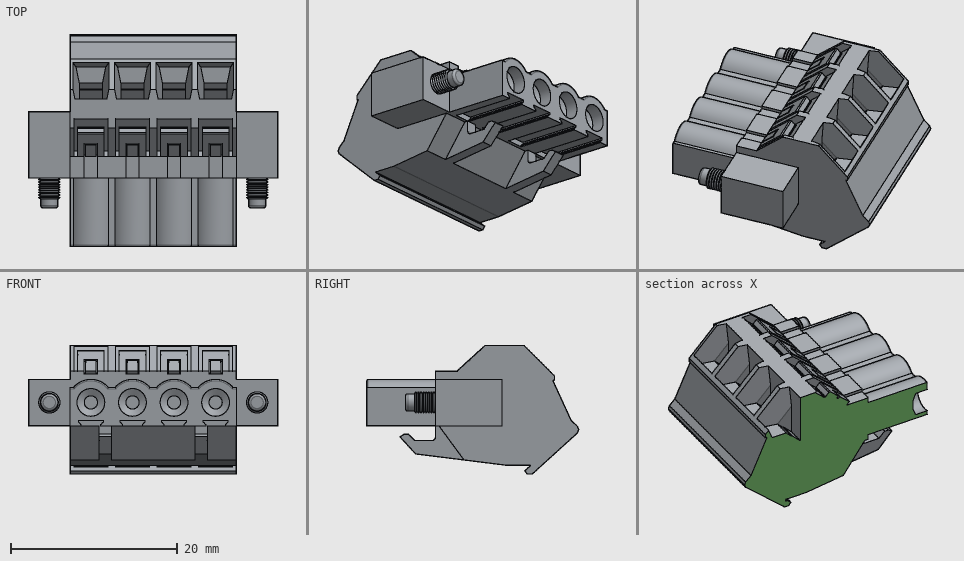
import cadquery as cq
import math


POLES = 4
PITCH = 5.0
BODY_WIDTH = POLES * PITCH
FLANGE_WIDTH = 5.0
FLANGE_DEPTH = 8.0
FLANGE_HEIGHT = 5.6
OVERLAP = 1.0

TOP_Z = 9.7
BOTTOM_Z = -5.8
BACK_Y = 17.25

STEP_Z = 6.6
SLOPE_FOOT_Y = 2.6
SLOPE_TOP_Y = 6.0
SLOPE_ANGLE = math.atan2(TOP_Z - STEP_Z, SLOPE_TOP_Y - SLOPE_FOOT_Y)

REAR_EDGE_Y = 10.65
REAR_LIP_Y = 14.35
REAR_LIP_DROP = 0.5
REAR_LIP_FOOT_Y = 14.15
REAR_LIP_FOOT_Z = 5.45
REAR_PLANE_SUM = REAR_EDGE_Y + TOP_Z

NOSE_KNEE_Y = 16.35
NOSE_KNEE_Z = 0.66
NOSE_Z = -0.45
NOSE_HALF_HEIGHT = 0.4
NOSE_BLUNTING = 0.15

KEEL_LIP_BACK_Y = 11.65
KEEL_LIP_FRONT_Y = 11.05
KEEL_LIP_TIP_Y = 10.75
KEEL_LIP_TIP_Z = -5.4
KEEL_LIP_ROOT_Y = 11.45

UNDERCUT_TOP_Y = 0.45
UNDERCUT_FOOT_Y = 3.45
KEEL_BACK_Y = 8.6
KEEL_BACK_Z = -4.75
HOOK_HEEL_Y = -2.37
HOOK_HEEL_Z = -3.38
KEEL_SLOPE = (KEEL_BACK_Z - HOOK_HEEL_Z) / (KEEL_BACK_Y - HOOK_HEEL_Y)
UNDERCUT_FOOT_Z = HOOK_HEEL_Z + KEEL_SLOPE * (UNDERCUT_FOOT_Y - HOOK_HEEL_Y)

SLIT_HALF = 2.05
SLIT_HEIGHT = 0.1
SLIT_TOP_Z = -4.82
SLIT_FRONT_Y = 11.2
SLIT_BACK_Y = 11.5

PLUG_LENGTH = 8.25
PLUG_WEB_Z = 4.65
SLEEVE_Z = 2.83
SLEEVE_RADIUS = FLANGE_HEIGHT - SLEEVE_Z
PLUG_ROUNDING = 0.18
BORE_MOUTH_RADIUS = 1.67
BORE_END_RADIUS = 0.8
BORE_STRAIGHT = 1.6
BORE_CONE = 0.4
KEYWAY_HEIGHT = 0.68
KEYWAY_TOP_HALF = 1.5
KEYWAY_MOUTH_HALF = 1.18
KEYWAY_UPPER_WALL = 0.2
KEYWAY_LOWER_WALL = 0.15

HOOK_WIDTH = 1.5
HOOK_OFFSET = 5.75
HOOK_ROOT_RADIUS = 0.4
HOOK_FLOOR_Z = -1.75
HOOK_FLOOR_END_Y = -2.45
HOOK_TOP_Y = -3.25
HOOK_TOP_Z = -0.97
HOOK_BEVEL_Y = -3.75
HOOK_BEVEL_Z = -1.0
HOOK_TIP_Y = -4.27
HOOK_TIP_Z = -1.3

LEVER_POCKET_HALF = 2.05
LEVER_POCKET_BACK_Y = 7.1
LEVER_POCKET_DEPTH = 0.95
LEVER_HALF = 1.6
LEVER_CREST_Y = 5.4
BUTTON_HALF = 0.8
BUTTON_TOP_Z = 7.97
BUTTON_GROOVE_WIDTH = 0.16
BUTTON_GROOVE_DEPTH = 0.3
LEVER_CHAMFER = 0.15
LEVER_LEDGE = 0.12
SLOT_FLOOR_Z = 6.22

FUNNEL_MOUTH_HALF = 2.15
FUNNEL_SHAFT_HALF = 1.4
FUNNEL_FRONT_Y = 9.5
FUNNEL_BACK_Y = 13.88
FUNNEL_FLOOR_BACK_Y = 13.35
FUNNEL_FLOOR_FRONT_Y = 11.45
FUNNEL_FLOOR_Z = 5.2
SHAFT_LEDGE_Y = 10.7
SHAFT_LEDGE_WIDTH = 0.1

SCREW_RADIUS = 1.28
THREAD_ROOT_RADIUS = 1.08
THREAD_LENGTH = 2.5
THREAD_TURNS = 8
SCREW_TIP_RADIUS = 1.04
SCREW_LENGTH = 3.6
SCREW_TIP_FILLET = 0.3

POLE_XS = [(i - (POLES - 1) / 2) * PITCH for i in range(POLES)]
SIDES = (-1, 1)


def side_prism(points, width, center_x=0.0):
    """Extrude a closed (Y, Z) outline along X, centred on center_x."""
    prism = cq.Workplane("YZ").polyline(points).close().extrude(width / 2, both=True)
    return prism.translate((center_x, 0, 0))


def slope_box(center_x, half_width, v_start, v_end, w_low, w_high):
    """Box on the front slope: v runs up the slope from its foot, w out of it."""
    plane = cq.Plane(
        origin=(center_x, SLOPE_FOOT_Y, STEP_Z),
        xDir=(1, 0, 0),
        normal=(0, -math.sin(SLOPE_ANGLE), math.cos(SLOPE_ANGLE)),
    )
    box = cq.Workplane(plane).box(
        2 * half_width, v_end - v_start, w_high - w_low, centered=(True, False, False)
    )
    return box.translate(plane.yDir * v_start + plane.zDir * w_low)


def make_housing():
    outline = [
        (0, 0),
        (0, STEP_Z),
        (SLOPE_FOOT_Y, STEP_Z),
        (SLOPE_TOP_Y, TOP_Z),
        (REAR_EDGE_Y, TOP_Z),
        (REAR_LIP_Y, REAR_PLANE_SUM - REAR_LIP_Y),
        (REAR_LIP_Y, REAR_PLANE_SUM - REAR_LIP_Y - REAR_LIP_DROP),
        (REAR_LIP_FOOT_Y, REAR_LIP_FOOT_Z),
        (NOSE_KNEE_Y, NOSE_KNEE_Z),
        (BACK_Y - NOSE_BLUNTING, NOSE_Z + NOSE_HALF_HEIGHT),
        (BACK_Y, NOSE_Z),
        (BACK_Y - NOSE_BLUNTING, NOSE_Z - NOSE_HALF_HEIGHT),
        (KEEL_LIP_BACK_Y, BOTTOM_Z),
        (KEEL_LIP_FRONT_Y, BOTTOM_Z),
        (KEEL_LIP_TIP_Y, KEEL_LIP_TIP_Z),
        (KEEL_LIP_ROOT_Y, KEEL_BACK_Z),
        (KEEL_BACK_Y, KEEL_BACK_Z),
        (UNDERCUT_FOOT_Y, UNDERCUT_FOOT_Z),
        (UNDERCUT_TOP_Y, 0),
    ]
    return side_prism(outline, BODY_WIDTH)


def make_hook(center_x):
    """Flexible latch arm that reaches forward below the plug."""
    root = HOOK_ROOT_RADIUS
    root_mid = root * (1 - math.sqrt(0.5))
    hook = (
        cq.Workplane("YZ")
        .moveTo(UNDERCUT_TOP_Y, 0)
        .lineTo(0, 0)
        .lineTo(0, HOOK_FLOOR_Z + root)
        .threePointArc((-root_mid, HOOK_FLOOR_Z + root_mid), (-root, HOOK_FLOOR_Z))
        .lineTo(HOOK_FLOOR_END_Y, HOOK_FLOOR_Z)
        .lineTo(HOOK_TOP_Y, HOOK_TOP_Z)
        .lineTo(HOOK_BEVEL_Y, HOOK_BEVEL_Z)
        .lineTo(HOOK_TIP_Y, HOOK_TIP_Z)
        .lineTo(HOOK_HEEL_Y, HOOK_HEEL_Z)
        .lineTo(UNDERCUT_FOOT_Y, UNDERCUT_FOOT_Z)
        .lineTo(UNDERCUT_FOOT_Y + OVERLAP, UNDERCUT_FOOT_Z)
        .lineTo(UNDERCUT_TOP_Y + OVERLAP, OVERLAP)
        .lineTo(UNDERCUT_TOP_Y, OVERLAP)
        .close()
        .extrude(HOOK_WIDTH / 2, both=True)
    )
    return hook.translate((center_x, 0, 0))


def make_plug():
    """Rectangular plug under a row of arches, rounded along the upper front edge."""
    length = PLUG_LENGTH + OVERLAP
    web = cq.Workplane("XY").box(BODY_WIDTH, length, PLUG_WEB_Z, centered=(True, False, False))
    envelope = cq.Workplane("XY").box(BODY_WIDTH, length, TOP_Z, centered=(True, False, False))
    plug = web.faces("<Y").edges(">Z").fillet(PLUG_ROUNDING)
    for x in POLE_XS:
        sleeve = cq.Workplane("XZ").center(x, SLEEVE_Z).circle(SLEEVE_RADIUS).extrude(-length)
        sleeve = sleeve.faces("<Y").edges().fillet(PLUG_ROUNDING)
        plug = plug.union(sleeve.intersect(envelope))
    return plug.translate((0, -PLUG_LENGTH, 0))


def make_bore(center_x):
    """Contact bore at the plug front: a straight mouth, then a shallow cone with a flat end."""
    outline = [
        (0, 0),
        (BORE_MOUTH_RADIUS, 0),
        (BORE_MOUTH_RADIUS, BORE_STRAIGHT),
        (BORE_END_RADIUS, BORE_STRAIGHT + BORE_CONE),
        (0, BORE_STRAIGHT + BORE_CONE),
    ]
    bore = cq.Workplane("XY").polyline(outline).close().revolve(360, (0, 0, 0), (0, 1, 0))
    return bore.translate((center_x, -PLUG_LENGTH, SLEEVE_Z))


def make_keyway(center_x):
    """Dovetail groove along the plug underside, wider at its top."""
    right = [
        (KEYWAY_MOUTH_HALF, 0),
        (KEYWAY_MOUTH_HALF, KEYWAY_LOWER_WALL),
        (KEYWAY_TOP_HALF, KEYWAY_HEIGHT - KEYWAY_UPPER_WALL),
        (KEYWAY_TOP_HALF, KEYWAY_HEIGHT),
    ]
    left = [(-x, z) for x, z in reversed(right)]
    groove = cq.Workplane("XZ").polyline(right + left).close().extrude(PLUG_LENGTH)
    return groove.translate((center_x, 0, 0))


def make_lever_pocket(center_x):
    """Pocket in the front slope that leaves a lever block with a grooved tab outline."""
    cos_a = math.cos(SLOPE_ANGLE)
    sin_a = math.sin(SLOPE_ANGLE)
    pocket_end = (LEVER_POCKET_BACK_Y - SLOPE_FOOT_Y) * cos_a + (TOP_Z - STEP_Z) * sin_a
    lever_end = (LEVER_CREST_Y - SLOPE_FOOT_Y) / cos_a
    button_end = (BUTTON_TOP_Z - STEP_Z) / sin_a
    pocket = slope_box(center_x, LEVER_POCKET_HALF, 0, pocket_end, -LEVER_POCKET_DEPTH, OVERLAP)
    lever = slope_box(center_x, LEVER_HALF, 0, lever_end, -LEVER_POCKET_DEPTH, 0)
    lever = lever.edges(">Z").chamfer(LEVER_CHAMFER)
    ledge_end = lever_end + LEVER_LEDGE
    ledge_top = LEVER_LEDGE - LEVER_POCKET_DEPTH
    ledge = slope_box(center_x, LEVER_HALF, 0, ledge_end, -LEVER_POCKET_DEPTH, ledge_top)
    groove = slope_box(center_x, BUTTON_HALF, 0, button_end, -BUTTON_GROOVE_DEPTH, OVERLAP)
    tab_half = BUTTON_HALF - BUTTON_GROOVE_WIDTH
    tab_end = button_end - BUTTON_GROOVE_WIDTH
    tab = slope_box(center_x, tab_half, 0, tab_end, -BUTTON_GROOVE_DEPTH, OVERLAP)
    return pocket.cut(lever).cut(ledge).union(groove.cut(tab))


def make_step_slot(center_x):
    """Shallow slot across the step, ending under the foot of the lever."""
    undercut = (STEP_Z - SLOT_FLOOR_Z) * math.tan(SLOPE_ANGLE)
    outline = [
        (0, SLOT_FLOOR_Z),
        (SLOPE_FOOT_Y + undercut, SLOT_FLOOR_Z),
        (SLOPE_FOOT_Y, STEP_Z),
        (0, STEP_Z),
    ]
    return side_prism(outline, 2 * BUTTON_HALF, center_x)


def make_funnel(center_x):
    """Screwdriver funnel in the rear face, narrowing with depth to a straight shaft."""
    ledge_z = FUNNEL_FLOOR_Z - (FUNNEL_FLOOR_FRONT_Y - SHAFT_LEDGE_Y)
    ledge_front_y = SHAFT_LEDGE_Y - SHAFT_LEDGE_WIDTH
    side_outline = [
        (FUNNEL_FRONT_Y, TOP_Z),
        (REAR_EDGE_Y, TOP_Z),
        (FUNNEL_BACK_Y, REAR_PLANE_SUM - FUNNEL_BACK_Y),
        (FUNNEL_FLOOR_BACK_Y, FUNNEL_FLOOR_Z),
        (FUNNEL_FLOOR_FRONT_Y, FUNNEL_FLOOR_Z),
        (SHAFT_LEDGE_Y, ledge_z),
        (ledge_front_y, ledge_z),
        (FUNNEL_FRONT_Y, ledge_z - (ledge_front_y - FUNNEL_FRONT_Y)),
    ]
    side = side_prism(side_outline, 2 * FUNNEL_MOUTH_HALF, center_x)

    neck_depth = (REAR_PLANE_SUM - FUNNEL_FLOOR_FRONT_Y - FUNNEL_FLOOR_Z) / math.sqrt(2)
    reach = TOP_Z - BOTTOM_Z
    right = [
        (FUNNEL_MOUTH_HALF, 0),
        (FUNNEL_SHAFT_HALF, -neck_depth),
        (FUNNEL_SHAFT_HALF, -reach),
    ]
    left = [(-x, depth) for x, depth in reversed(right)]
    section_plane = cq.Plane(origin=(center_x, REAR_EDGE_Y, TOP_Z), xDir=(1, 0, 0), normal=(0, -1, 1))
    section = cq.Workplane(section_plane).polyline(right + left).close().extrude(reach, both=True)
    return side.intersect(section)


def make_lip_slit(center_x):
    """Thin slit cut into the front face of the lower lip."""
    slit = cq.Workplane("XY").box(
        2 * SLIT_HALF, SLIT_BACK_Y - SLIT_FRONT_Y, SLIT_HEIGHT, centered=(True, False, False)
    )
    return slit.translate((center_x, SLIT_FRONT_Y, SLIT_TOP_Z - SLIT_HEIGHT))


def make_flange(side):
    flange = cq.Workplane("XY").box(
        FLANGE_WIDTH + OVERLAP, FLANGE_DEPTH, FLANGE_HEIGHT, centered=(True, False, False)
    )
    return flange.translate((side * (BODY_WIDTH + FLANGE_WIDTH - OVERLAP) / 2, 0, 0))


def make_screw(side):
    """Screw end standing out of the flange: thread ridges, then a rounded plain tip."""
    thread_pitch = THREAD_LENGTH / THREAD_TURNS
    outline = [(0, OVERLAP), (THREAD_ROOT_RADIUS, OVERLAP), (THREAD_ROOT_RADIUS, 0)]
    for turn in range(THREAD_TURNS):
        outline.append((SCREW_RADIUS, -(turn + 0.5) * thread_pitch))
        outline.append((THREAD_ROOT_RADIUS, -(turn + 1) * thread_pitch))
    outline.append((SCREW_TIP_RADIUS, -THREAD_LENGTH))
    outline.append((SCREW_TIP_RADIUS, -SCREW_LENGTH))
    outline.append((0, -SCREW_LENGTH))
    screw = cq.Workplane("XY").polyline(outline).close().revolve(360, (0, 0, 0), (0, 1, 0))
    screw = screw.faces("<Y").edges().fillet(SCREW_TIP_FILLET)
    return screw.translate((side * (BODY_WIDTH + FLANGE_WIDTH) / 2, 0, SLEEVE_Z))


result = make_housing().union(make_plug())
for side in SIDES:
    result = result.union(make_hook(side * HOOK_OFFSET))
    result = result.union(make_flange(side))
    result = result.union(make_screw(side))
for x in POLE_XS:
    result = result.cut(make_bore(x))
    result = result.cut(make_keyway(x))
    result = result.cut(make_lever_pocket(x))
    result = result.cut(make_step_slot(x))
    result = result.cut(make_funnel(x))
    result = result.cut(make_lip_slit(x))